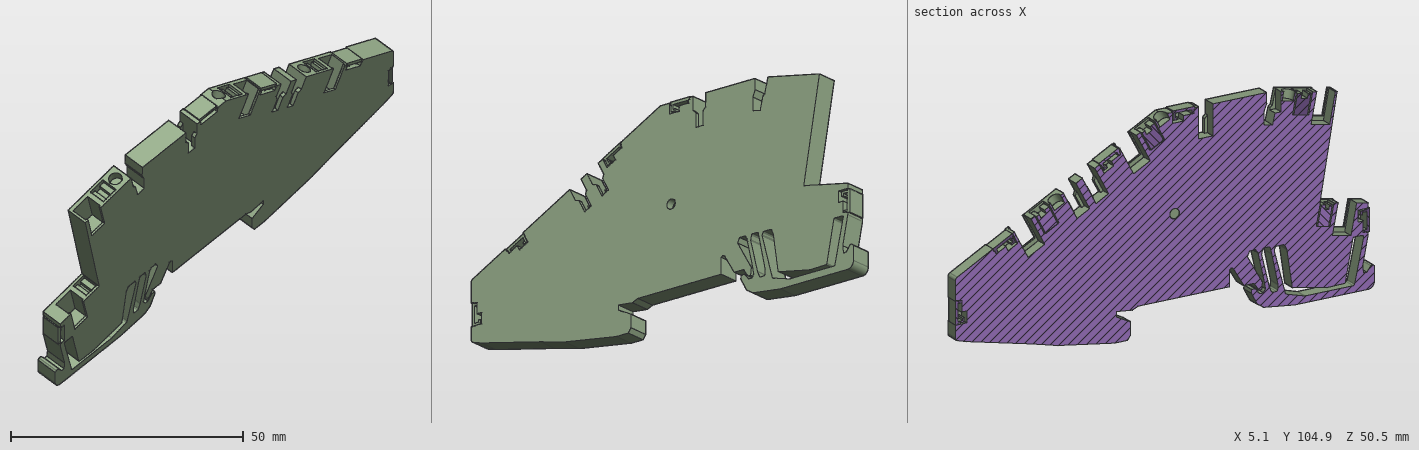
import cadquery as cq
import math


THICKNESS = 5.1
LENGTH = 104.9
TOP_Z = 50.2
FRONT_Y = 1.6
BOTTOM_Z = 7.3
RIDGE_Y = 53.0
REAR_SLOPE = 28.0
FRONT_SLOPE = 11.0
UPPER_STEP = (23.5, 49.7)
LOWER_STEP = (13.6, 22.2)
UPPER_STEP_END_Y = 9.3
FOOT_TOE = (0, 0)
FOOT_LIP = (0.7, 5.8)
FOOT_LIP_END = (0, 5.1)
REAR_CORNER_RADIUS = 0.8
FOOT_TOE_RADIUS = 1.7
FOOT_LIP_RADIUS = 0.4
WINDOW_RADIUS = 0.3
LEDGE_Z = 45.1
LEDGE_START_Y = 25.4

OVERCUT = 1.0

NOTCH_DEPTH = 7.3
NOTCH_STEP_DEPTH = 4.0
NOTCH_TOP_WIDTH = 3.5
NOTCH_BASE_WIDTH = 2.0
NOTCH_CORE_X = 0.9
NOTCH_CORE_WIDTH = THICKNESS - 2 * NOTCH_CORE_X
TOP_NOTCH_Y = 42.3
SLOPE_NOTCHES = (21.1, 26.4)

DIMPLE_CENTRE = (50.0, 26.8)
DIMPLE_RADIUS = 1.2
DIMPLE_DEPTH = 2.1

TAG_LENGTH = 5.5
TAG_WIDTH = 4.5
TAG_PLATE = 0.7
TAG_STANDOFF = 0.3
TAG_SLOT_DEPTH = 1.6
TAG_SLOT_LENGTH = 5.0
HOOK_POCKET_DEPTH = 2.8
HOOK_POCKET_LENGTH = 2.6
HOOK_POCKET_WIDTH = 4.2
HOOK_LEG_DEPTH = 2.3
HOOK_TOE = 1.0
LEG_THICKNESS = 0.5
TAG_X = (THICKNESS - TAG_WIDTH) / 2

TEST_HOLE_RADIUS = 1.5
TEST_HOLE_DEPTH = 2.1
SLOT_OFFSET = 3.9
SLOT_LENGTH = 4.0
SHORT_SLOT_LENGTH = 3.4
SLOT_DEPTH = 5.2
SLOT_X = 0.6
SLOT_WIDTH = 3.9
FUNNEL_OFFSET = 9.3
FUNNEL_LENGTH = 4.6
FUNNEL_DEPTH = 7.3
FUNNEL_X = 0.9
FUNNEL_WIDTH = 3.7
MOUTH_LENGTH = 4.0
MOUTH_DEPTH = 6.3

ACTUATOR_X = 0.9
ACTUATOR_WIDTH = 3.4
ACTUATOR_RECESS = 0.4
ACTUATOR_END_GAP = 0.2
GROOVE_DEPTH = 1.0
LIP_LENGTH = 0.8
LAND_LENGTH = 1.3


def direction(degrees):
    """Unit vector in the Y-Z plane, measured from +Y towards +Z."""
    return (math.cos(math.radians(degrees)), math.sin(math.radians(degrees)))


class Seat:
    """A place on the outline: `along` runs along the surface and `depth` into the body."""

    def __init__(self, origin, along, outward):
        self.origin = origin
        self.along = along
        self.outward = outward

    def point(self, along, depth):
        return tuple(o + along * a - depth * n for o, a, n in zip(self.origin, self.along, self.outward))

    def moved(self, along, depth=0.0):
        return Seat(self.point(along, depth), self.along, self.outward)

    def prism(self, points, x_start, width):
        """Extrude a profile of (along, depth) points along X."""
        outline = [self.point(along, depth) for along, depth in points]
        return prism(outline, x_start, width)

    def block(self, length, top, bottom, x_start, width):
        half = length / 2
        return self.prism([(-half, top), (half, top), (half, bottom), (-half, bottom)], x_start, width)


def prism(outline, x_start, width):
    return cq.Workplane("YZ", origin=(x_start, 0, 0)).polyline(outline).close().extrude(width)


DOWN_REAR = direction(-REAR_SLOPE)
REAR_OUT = direction(90 - REAR_SLOPE)
DOWN_FRONT = direction(180 + FRONT_SLOPE)
FRONT_OUT = direction(90 + FRONT_SLOPE)
UP_REAR = (-DOWN_REAR[0], -DOWN_REAR[1])

ridge_seat = Seat((RIDGE_Y, TOP_Z), DOWN_REAR, REAR_OUT)
upper_step_seat = Seat(UPPER_STEP, DOWN_FRONT, FRONT_OUT)
lower_step_seat = Seat(LOWER_STEP, DOWN_FRONT, FRONT_OUT)


def fall(run, degrees):
    return run * math.tan(math.radians(degrees))


REAR_TOP = (LENGTH, TOP_Z - fall(LENGTH - RIDGE_Y, REAR_SLOPE))
REAR_BOTTOM = (LENGTH, 8.4)
ROUNDED_CORNERS = [
    (REAR_TOP, REAR_CORNER_RADIUS),
    (REAR_BOTTOM, REAR_CORNER_RADIUS),
    (FOOT_TOE, FOOT_TOE_RADIUS),
    (FOOT_LIP, FOOT_LIP_RADIUS),
]

STATIONS = [
    (ridge_seat.moved(30.4), True, SLOT_LENGTH),
    (ridge_seat.moved(0.5), True, SLOT_LENGTH),
    (upper_step_seat.moved(2.2), True, SLOT_LENGTH),
    (lower_step_seat.moved(-2.4), False, SHORT_SLOT_LENGTH),
]

TAG_SEATS = [
    Seat((LENGTH, 14.7), (0, -1), (1, 0)),
    Seat(ridge_seat.point(45.4, 0), UP_REAR, REAR_OUT),
    ridge_seat.moved(15.2, -TAG_STANDOFF),
    Seat((47.7, TOP_Z + TAG_STANDOFF), (1, 0), (0, 1)),
    Seat((FRONT_Y - TAG_STANDOFF, 15.9), (0, 1), (-1, 0)),
]


def plate_outline():
    """Outside edge of the housing, anticlockwise from the rear top corner towards the ridge."""
    upper_end = (UPPER_STEP_END_Y, UPPER_STEP[1] - fall(UPPER_STEP[0] - UPPER_STEP_END_Y, FRONT_SLOPE))
    lower_end = (FRONT_Y, LOWER_STEP[1] - fall(LOWER_STEP[0] - FRONT_Y, FRONT_SLOPE))
    tapered_notch = [
        (27.1, TOP_Z), (27.0, 47.6), (27.6, 46.0), (27.6, 42.9), (25.6, 42.5),
        (24.9, 45.6), (24.3, 46.0), UPPER_STEP,
    ]
    spring_foot = [
        (1.6, 12.6), (2.9, 5.8), (2.7, 4.1), (2.0, 4.1), FOOT_LIP, FOOT_LIP_END, FOOT_TOE,
        (20.0, 0), (27.7, 0.9), (29.4, 2.0), (30.9, 4.9), (30.8, 5.8), (29.9, 5.8),
    ]
    foot_slit = [
        (28.7, 4.4), (27.9, 4.4), (27.4, 5.2), (27.9, 8.0), (29.3, 13.8), (29.8, 14.6),
        (31.3, 14.6), (31.8, 13.4), (28.5, 7.8), (28.0, 6.9), (28.2, 5.1), (28.9, 5.1),
    ]
    rail_recess = [
        (30.2, 6.9), (32.7, 6.9), (35.5, 11.4), (35.9, 11.5), (36.3, 11.2), (36.3, BOTTOM_Z),
        (59.2, BOTTOM_Z), (60.6, 6.7), (64.5, 7.1), (64.5, 6.0),
    ]
    fixed_foot = [(61.0, 4.2), (61.0, 1.0), (61.8, 0), (65.0, 0)]
    rear_bottom = [(79.2, 2.2), (85.9, 3.9), (102.0, 7.5), REAR_BOTTOM]
    return (
        [REAR_TOP, (RIDGE_Y, TOP_Z)] + tapered_notch + [upper_end, LOWER_STEP, lower_end]
        + spring_foot + foot_slit + rail_recess + fixed_foot + rear_bottom
    )


def notch_cutter(seat):
    top = NOTCH_TOP_WIDTH / 2
    base = NOTCH_BASE_WIDTH / 2
    slant = top - base
    shoulder = NOTCH_STEP_DEPTH - slant
    profile = [
        (-top, -OVERCUT), (top, -OVERCUT), (top, shoulder), (base, NOTCH_STEP_DEPTH),
        (base, NOTCH_DEPTH), (-base, NOTCH_DEPTH), (-base, NOTCH_STEP_DEPTH), (-top, shoulder),
    ]
    core = seat.block(NOTCH_TOP_WIDTH, -OVERCUT, NOTCH_DEPTH, NOTCH_CORE_X, NOTCH_CORE_WIDTH)
    return seat.prism(profile, 0, THICKNESS).union(core)


def foot_windows():
    """The two closed openings that leave the foot spring free to flex."""
    slit = [
        (27.9, 14.6), (28.2, 13.2), (26.3, 5.6), (25.7, 4.1),
        (24.3, 4.1), (24.2, 5.6), (25.8, 12.9), (26.2, 14.6),
    ]
    gap = [
        (24.8, 14.4), (25.1, 13.5), (22.2, 3.0), (17.5, 1.7), (5.1, 1.7), (2.7, 12.7),
        (5.3, 12.7), (7.3, 2.5), (11.9, 2.4), (20.7, 4.1), (22.0, 13.2), (22.7, 14.4),
    ]
    return [prism(outline, 0, THICKNESS).edges("|X").fillet(WINDOW_RADIUS) for outline in (slit, gap)]


def station_cutters(seat, has_test_hole, slot_length):
    slot = actuator_seat(seat, slot_length).block(slot_length, -OVERCUT, SLOT_DEPTH, SLOT_X, SLOT_WIDTH)
    funnel_seat = seat.moved(FUNNEL_OFFSET)
    funnel = funnel_seat.block(FUNNEL_LENGTH, -OVERCUT, FUNNEL_DEPTH, FUNNEL_X, FUNNEL_WIDTH)
    mouth = funnel_seat.block(MOUTH_LENGTH, -OVERCUT, MOUTH_DEPTH, FUNNEL_X, THICKNESS - FUNNEL_X)
    cutters = [slot, funnel, mouth]
    if has_test_hole:
        y, z = seat.origin
        inward = cq.Vector(0, -seat.outward[0], -seat.outward[1])
        hole = cq.Solid.makeCylinder(
            TEST_HOLE_RADIUS, TEST_HOLE_DEPTH, cq.Vector(THICKNESS / 2, y, z), inward
        )
        cutters.append(cq.Workplane(hole))
    return cutters


def actuator_seat(seat, slot_length):
    """Middle of the actuator slot; a short slot keeps its funnel end in place."""
    return seat.moved(SLOT_OFFSET + (SLOT_LENGTH - slot_length) / 2)


def tag_cutters(seat):
    bed = seat.block(TAG_LENGTH, -OVERCUT, TAG_PLATE, 0, THICKNESS)
    slot = seat.block(TAG_SLOT_LENGTH, 0, TAG_SLOT_DEPTH, 0, THICKNESS)
    pocket_seat = seat.moved((TAG_LENGTH - HOOK_POCKET_LENGTH) / 2)
    pocket = pocket_seat.block(HOOK_POCKET_LENGTH, 0, HOOK_POCKET_DEPTH, 0, HOOK_POCKET_WIDTH)
    return [bed, slot, pocket]


def edge_at(y, z):
    """Select the plate edge that runs along X through (y, z)."""
    return cq.selectors.NearestToPointSelector((THICKNESS / 2, y, z))


def ledge_cutter():
    end_y = UPPER_STEP[0]
    outline = [(LEDGE_START_Y, LEDGE_Z), (end_y, LEDGE_Z), (end_y, TOP_Z), (LEDGE_START_Y, TOP_Z)]
    return prism(outline, NOTCH_CORE_X, NOTCH_CORE_WIDTH)


def make_housing():
    body = prism(plate_outline(), 0, THICKNESS)
    for corner, radius in ROUNDED_CORNERS:
        body = body.edges(edge_at(*corner)).fillet(radius)
    dimple = cq.Workplane("YZ").center(*DIMPLE_CENTRE).circle(DIMPLE_RADIUS).extrude(DIMPLE_DEPTH)
    cutters = foot_windows() + [dimple, ledge_cutter()]
    cutters.append(notch_cutter(Seat((TOP_NOTCH_Y, TOP_Z), (-1, 0), (0, 1))))
    for distance in SLOPE_NOTCHES:
        cutters.append(notch_cutter(ridge_seat.moved(distance)))
    for station in STATIONS:
        cutters += station_cutters(*station)
    for seat in TAG_SEATS:
        cutters += tag_cutters(seat)
    for cutter in cutters:
        body = body.cut(cutter)
    return body


def make_tag(seat):
    half = TAG_LENGTH / 2
    inner = TAG_SLOT_LENGTH / 2
    leg = inner - LEG_THICKNESS
    profile = [
        (-half, 0), (half, 0), (half, TAG_PLATE), (inner, TAG_PLATE),
        (inner, HOOK_LEG_DEPTH), (inner - HOOK_TOE, HOOK_LEG_DEPTH),
        (inner - HOOK_TOE, HOOK_LEG_DEPTH - LEG_THICKNESS), (leg, HOOK_LEG_DEPTH - LEG_THICKNESS),
        (leg, TAG_PLATE), (-leg, TAG_PLATE), (-leg, TAG_SLOT_DEPTH), (-inner, TAG_SLOT_DEPTH),
        (-inner, TAG_PLATE), (-half, TAG_PLATE),
    ]
    return seat.prism(profile, TAG_X, HOOK_POCKET_WIDTH - TAG_X).union(
        seat.block(TAG_LENGTH, 0, TAG_PLATE, TAG_X, TAG_WIDTH)
    )


def make_actuator(seat, slot_length):
    """Push block with a screwdriver groove between a narrow lip and a wider land."""
    start = -slot_length / 2 + ACTUATOR_END_GAP
    end = slot_length / 2 - ACTUATOR_END_GAP
    groove = ACTUATOR_RECESS + GROOVE_DEPTH
    profile = [
        (start, ACTUATOR_RECESS), (start + LAND_LENGTH, ACTUATOR_RECESS), (start + LAND_LENGTH, groove),
        (end - LIP_LENGTH, groove), (end - LIP_LENGTH, ACTUATOR_RECESS), (end, ACTUATOR_RECESS),
        (end, SLOT_DEPTH), (start, SLOT_DEPTH),
    ]
    return actuator_seat(seat, slot_length).prism(profile, ACTUATOR_X, ACTUATOR_WIDTH)


housing = make_housing()
tags = [make_tag(seat) for seat in TAG_SEATS]
actuators = [make_actuator(seat, slot_length) for seat, _, slot_length in STATIONS]

result = cq.Compound.makeCompound([
    housing.val(),
    *[tag.val() for tag in tags],
    *[actuator.val() for actuator in actuators],
])